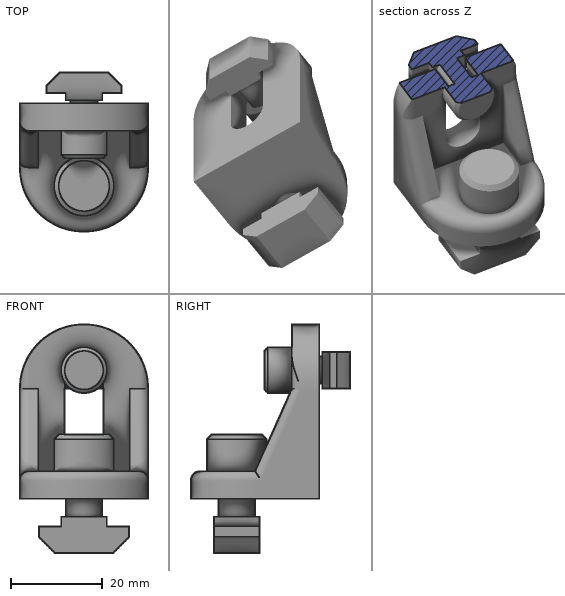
import cadquery as cq

WIDTH = 28.0
PLATE_THICKNESS = 6.0
HEIGHT = 38.0
DEPTH = 28.0
RIB_WIDTH = 4.0
EDGE_RADIUS = 2.0
ROUND_RADIUS = WIDTH / 2
ARCH_CENTRE_Z = HEIGHT - ROUND_RADIUS
NOSE_CENTRE_Y = -(DEPTH - ROUND_RADIUS)

REAR_SCREW_Z = 28.0
BASE_SCREW_Y = -18.0

SLOT_WIDTH = 8.4
SLOT_BOTTOM_Z = 10.0

REAR_HEAD_DIAMETER = 10.0
REAR_HEAD_HEIGHT = 6.0
REAR_HEAD_CHAMFER = 0.8
REAR_SHANK_DIAMETER = 6.0
REAR_NUT_LENGTH = 8.0
REAR_NUT_NECK_WIDTH = 8.0
REAR_NUT_WIDTH = 16.4
REAR_NUT_CHAMFER = 2.9
REAR_NUT_START = 0.6
REAR_NUT_SHOULDER = 2.2
REAR_NUT_END = 6.7

BASE_HEAD_DIAMETER = 13.0
BASE_HEAD_HEIGHT = 8.0
BASE_HEAD_CHAMFER = 1.0
BASE_SHANK_DIAMETER = 8.0
BASE_NUT_LENGTH = 10.0
BASE_NUT_NECK_WIDTH = 10.0
BASE_NUT_WIDTH = 19.7
BASE_NUT_CHAMFER = 3.5
BASE_NUT_START = 3.9
BASE_NUT_SHOULDER = 6.0
BASE_NUT_END = 11.8


def round_ended_plate(length, thickness):
    """Plate in XY from y = 0 to y = -length with a full round at the far end."""
    straight = length - ROUND_RADIUS
    return (
        cq.Workplane("XY")
        .moveTo(-ROUND_RADIUS, 0)
        .lineTo(-ROUND_RADIUS, -straight)
        .threePointArc((0, -length), (ROUND_RADIUS, -straight))
        .lineTo(ROUND_RADIUS, 0)
        .close()
        .extrude(thickness)
    )


def back_plate():
    """Upright plate with rounded front edges and a square top."""
    return (
        cq.Workplane("XY")
        .box(WIDTH, PLATE_THICKNESS, HEIGHT, centered=(True, False, False))
        .translate((0, -PLATE_THICKNESS, 0))
        .edges("|Z and <Y")
        .fillet(EDGE_RADIUS)
    )


def base_plate():
    """Horizontal plate with a round nose and a rounded upper rim."""
    plate = round_ended_plate(DEPTH, PLATE_THICKNESS)
    rim = plate.faces(">Z").edges("not >Y")
    return rim.fillet(EDGE_RADIUS)


def side_rib():
    """Sloping side wall on the -X side; the slope runs on inside the back plate."""
    rise = (ARCH_CENTRE_Z - PLATE_THICKNESS) / (-PLATE_THICKNESS - NOSE_CENTRE_Y)
    slope_top_z = ARCH_CENTRE_Z + rise * PLATE_THICKNESS
    rib = (
        cq.Workplane("YZ", origin=(-ROUND_RADIUS, 0, 0))
        .lineTo(NOSE_CENTRE_Y, 0)
        .lineTo(NOSE_CENTRE_Y, PLATE_THICKNESS)
        .lineTo(0, slope_top_z)
        .close()
        .extrude(RIB_WIDTH)
    )
    slope_middle = (-ROUND_RADIUS, NOSE_CENTRE_Y / 2, (PLATE_THICKNESS + slope_top_z) / 2)
    return rib.edges(cq.selectors.NearestToPointSelector(slope_middle)).fillet(EDGE_RADIUS)


def arch_envelope():
    """Arch-shaped prism along Y that trims the top of the bracket to a half round."""
    flat = round_ended_plate(HEIGHT, DEPTH)
    return flat.rotate((0, 0, 0), (1, 0, 0), -90).translate((0, -DEPTH, 0))


def plate_slot():
    """Upright slot through the back plate."""
    slot_top = REAR_SCREW_Z + SLOT_WIDTH / 2
    return (
        cq.Workplane("XZ")
        .center(0, (slot_top + SLOT_BOTTOM_Z) / 2)
        .slot2D(slot_top - SLOT_BOTTOM_Z, SLOT_WIDTH, 90)
        .extrude(PLATE_THICKNESS)
    )


def bracket():
    """Back plate, base plate and two ribs, arched at the top and slotted."""
    rib = side_rib()
    body = back_plate().union(base_plate()).union(rib).union(rib.mirror("YZ"))
    return body.intersect(arch_envelope()).cut(plate_slot())


def screw(head_diameter, head_height, head_chamfer, shank_diameter, shank_end):
    """Screw along Z through a plate whose outer face is z = 0, head on top."""
    head = (
        cq.Workplane("XY", origin=(0, 0, PLATE_THICKNESS))
        .circle(head_diameter / 2)
        .extrude(head_height)
        .faces(">Z")
        .chamfer(head_chamfer)
    )
    shank = (
        cq.Workplane("XY", origin=(0, 0, -shank_end))
        .circle(shank_diameter / 2)
        .extrude(PLATE_THICKNESS + shank_end)
    )
    return head.union(shank)


def t_nut(length, neck_width, width, chamfer, start, shoulder, end):
    """T-nut below z = 0, centred on the screw axis."""
    half_neck = neck_width / 2
    half_width = width / 2
    return (
        cq.Workplane("XZ")
        .moveTo(-half_neck, -start)
        .lineTo(half_neck, -start)
        .lineTo(half_neck, -shoulder)
        .lineTo(half_width, -shoulder)
        .lineTo(half_width, chamfer - end)
        .lineTo(half_width - chamfer, -end)
        .lineTo(chamfer - half_width, -end)
        .lineTo(-half_width, chamfer - end)
        .lineTo(-half_width, -shoulder)
        .lineTo(-half_neck, -shoulder)
        .close()
        .extrude(length / 2, both=True)
    )


def base_fastener():
    """Screw and T-nut through the base plate, head upward."""
    base_screw = screw(
        BASE_HEAD_DIAMETER,
        BASE_HEAD_HEIGHT,
        BASE_HEAD_CHAMFER,
        BASE_SHANK_DIAMETER,
        BASE_NUT_SHOULDER,
    )
    base_nut = t_nut(
        BASE_NUT_LENGTH,
        BASE_NUT_NECK_WIDTH,
        BASE_NUT_WIDTH,
        BASE_NUT_CHAMFER,
        BASE_NUT_START,
        BASE_NUT_SHOULDER,
        BASE_NUT_END,
    )
    return base_screw.union(base_nut).translate((0, BASE_SCREW_Y, 0))


def rear_fastener():
    """Screw and T-nut through the back plate, turned so that the head faces -Y."""
    rear_screw = screw(
        REAR_HEAD_DIAMETER,
        REAR_HEAD_HEIGHT,
        REAR_HEAD_CHAMFER,
        REAR_SHANK_DIAMETER,
        REAR_NUT_SHOULDER,
    )
    rear_nut = t_nut(
        REAR_NUT_LENGTH,
        REAR_NUT_NECK_WIDTH,
        REAR_NUT_WIDTH,
        REAR_NUT_CHAMFER,
        REAR_NUT_START,
        REAR_NUT_SHOULDER,
        REAR_NUT_END,
    )
    upright = rear_screw.union(rear_nut)
    return upright.rotate((0, 0, 0), (1, 0, 0), 90).translate((0, 0, REAR_SCREW_Z))


result = bracket().union(base_fastener()).union(rear_fastener())